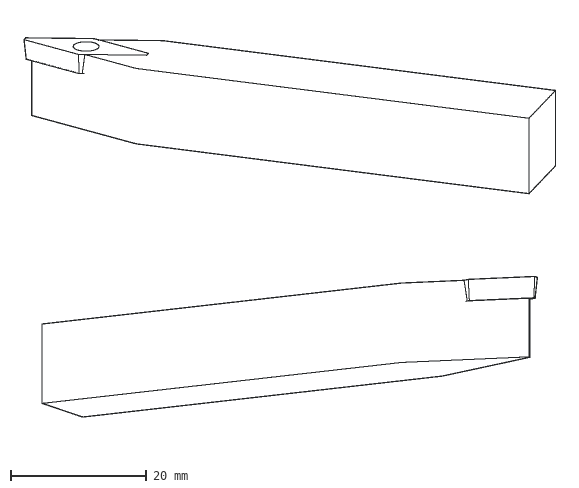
import cadquery as cq
import math

overall_length = 80.9
shank_size = 12.0
head_start_x = 1.1
head_end_x = 19.5
flank_angle = 17.5

insert_length = 19.2
insert_thickness = 3.15
insert_clearance = 5.0
insert_nose_width = 0.8
stud_diameter = 3.8

flank_slope = math.tan(math.radians(flank_angle))
shank_half = shank_size / 2
head_tip_half = shank_half - (head_end_x - head_start_x) * flank_slope
insert_center_x = insert_length / 2
insert_nose_half = insert_nose_width / 2
insert_half_width = insert_nose_half + insert_center_x * flank_slope


def make_insert_blank():
    """Rhombic insert with cut-off noses and clearance on all sides, without its hole."""
    outline = [
        (0, -insert_nose_half),
        (insert_center_x, -insert_half_width),
        (insert_length, -insert_nose_half),
        (insert_length, insert_nose_half),
        (insert_center_x, insert_half_width),
        (0, insert_nose_half),
    ]
    top_face = cq.Workplane("XY").workplane(offset=shank_size).polyline(outline).close()
    return top_face.extrude(-insert_thickness, taper=insert_clearance)


def make_stud():
    """Round stud that rises from the pocket floor and fills the insert hole."""
    return (
        cq.Workplane("XY")
        .workplane(offset=shank_size - insert_thickness)
        .center(insert_center_x, 0)
        .circle(stud_diameter / 2)
        .extrude(insert_thickness)
    )


def make_insert():
    """Insert with a through hole for the stud."""
    return make_insert_blank().cut(make_stud())


def make_holder():
    """Square shank with a tapered head, and a pocket that matches the insert."""
    outline = [
        (head_start_x, -head_tip_half),
        (head_end_x, -shank_half),
        (overall_length, -shank_half),
        (overall_length, shank_half),
        (head_end_x, shank_half),
        (head_start_x, head_tip_half),
    ]
    bar = cq.Workplane("XY").polyline(outline).close().extrude(shank_size)
    return bar.cut(make_insert())


holder = make_holder().solids()
insert = make_insert().solids()

result = cq.Compound.makeCompound([holder.val(), insert.val()])